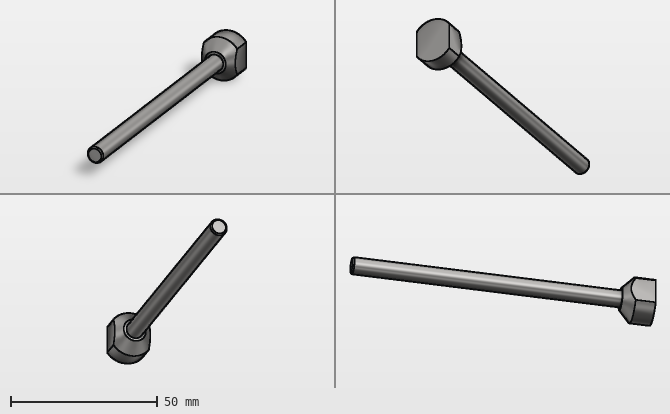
import cadquery as cq

total_length = 105.0

head_diameter = 16.0
head_width = 12.8
head_length = 11.0
cone_end_diameter = 8.0
cone_length = (head_diameter - cone_end_diameter) / 2

shank_diameter = 6.0
tip_chamfer = 0.5


def make_turned_body():
    """Revolve the half profile about Y: tip at Y = 0, top of head at +Y."""
    head_base = total_length - head_length
    shank_radius = shank_diameter / 2
    return (
        cq.Workplane("XY")
        .moveTo(0, 0)
        .lineTo(shank_radius - tip_chamfer, 0)
        .lineTo(shank_radius, tip_chamfer)
        .lineTo(shank_radius, head_base)
        .lineTo(cone_end_diameter / 2, head_base)
        .lineTo(head_diameter / 2, head_base + cone_length)
        .lineTo(head_diameter / 2, total_length)
        .lineTo(0, total_length)
        .close()
        .revolve(360, (0, 0, 0), (0, 1, 0))
    )


def make_flats_envelope():
    """Slab whose X faces form the two flats on the head."""
    return cq.Workplane("XY").box(head_width, total_length, head_diameter).translate((0, total_length / 2, 0))


result = make_turned_body().intersect(make_flats_envelope())